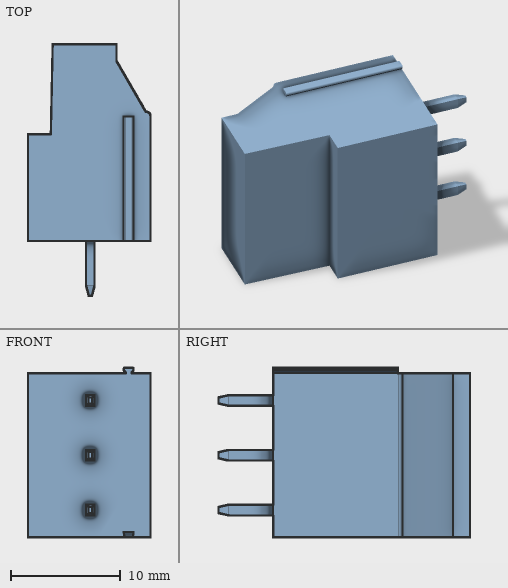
import cadquery as cq

poles = 3
pitch = 5.0

width = 11.2
height = poles * pitch
depth = 18.0
shelf_depth = 9.77
shelf_inset = 2.08
crown_inset = 2.25
crown_right = 8.1
crown_drop = 1.55
slope_end_x = 10.77
slope_end_y = 11.83
shoulder_y = 11.43
shoulder_radius = 0.42

rail_x = 9.2
rail_length = 11.4
rail_height = 0.5
rail_width = 0.92
rib_straight = 0.23
rib_edge_radius = 0.15
rib_neck_width = 0.52
groove_mouth_width = 0.74

pin_x = 5.7
pin_width = 0.8
pin_height = 1.0
pin_length = 5.0
tip_length = 0.95
tip_width = 0.3
tip_height = 0.56


def make_housing():
    return (
        cq.Workplane("XY")
        .moveTo(0, 0)
        .lineTo(width, 0)
        .lineTo(width, shoulder_y)
        .radiusArc((slope_end_x, slope_end_y), -shoulder_radius)
        .lineTo(crown_right, depth - crown_drop)
        .lineTo(crown_right, depth)
        .lineTo(crown_inset, depth)
        .lineTo(shelf_inset, shelf_depth)
        .lineTo(0, shelf_depth)
        .close()
        .extrude(height)
    )


def make_rib():
    """Dovetail rib on the top face, widening upward, with rounded upper edges."""
    half_neck = rib_neck_width / 2
    half_width = rail_width / 2
    straight_z = rail_height - rib_straight
    rib = (
        cq.Workplane("XZ", origin=(rail_x, 0, height))
        .moveTo(-half_neck, 0)
        .lineTo(half_neck, 0)
        .lineTo(half_width, straight_z)
        .lineTo(half_width, rail_height)
        .lineTo(-half_width, rail_height)
        .lineTo(-half_width, straight_z)
        .close()
        .extrude(-rail_length)
    )
    return rib.faces(">Z").edges("|Y").fillet(rib_edge_radius)


def make_groove():
    """Sharp-cornered dovetail groove, widening upward from the bottom face."""
    half_mouth = groove_mouth_width / 2
    half_width = rail_width / 2
    return (
        cq.Workplane("XZ", origin=(rail_x, 0, 0))
        .moveTo(-half_mouth, 0)
        .lineTo(half_mouth, 0)
        .lineTo(half_width, rail_height)
        .lineTo(-half_width, rail_height)
        .close()
        .extrude(-rail_length)
    )


def make_pin(center_z):
    """Rectangular pin with a four-sided tapered tip, reaching out from the -Y face."""
    shank_length = pin_length - tip_length
    base = cq.Workplane("XZ", origin=(pin_x, 0, center_z))
    shank = base.rect(pin_width, pin_height).extrude(shank_length)
    tip = (
        base.workplane(offset=shank_length)
        .rect(pin_width, pin_height)
        .workplane(offset=tip_length)
        .rect(tip_width, tip_height)
        .loft(ruled=True)
    )
    return shank.union(tip)


result = make_housing()
result = result.union(make_rib())
result = result.cut(make_groove())
for pole in range(poles):
    result = result.union(make_pin((pole + 0.5) * pitch))